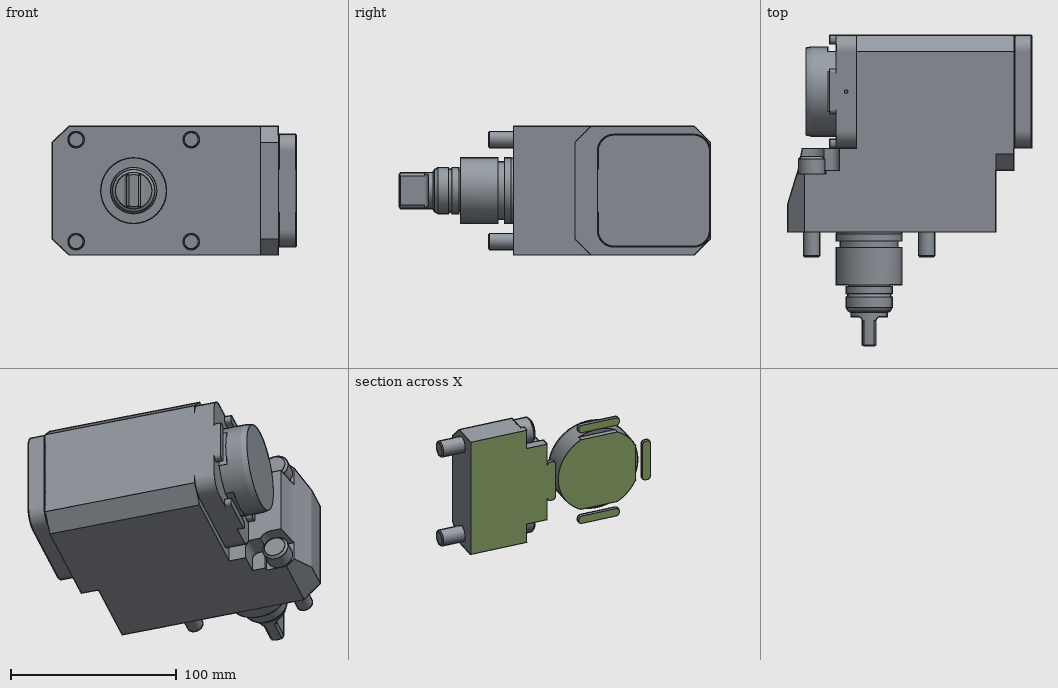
import cadquery as cq

length_y = 187.8
height = 78.0
half_height = height / 2
left_x = -49.2
foot_right_x = 76.5
right_x = 87.3
top_y = 118.9
step_y = 37.2
edge_chamfer = 9.8
foot_chamfer_x = 10.3
head_left_x = -7.5
shoulder_y = 50.5
shoulder_left_x = -40.4
slope_break_x = -43.0
slope_start_y = 16.9

screw_x = 34.7
screw_z = 30.8
screw_diameter = 10.0
screw_tip_y = -15.0
screw_tip_chamfer = 0.8
head_diameter = 16.0
head_seat_y = 35.0
head_length = 10.5
head_chamfer = 1.5
counterbore_radius = 8.6
relief_right_x = -18.0
relief_floor_z = 26.3
relief_corner_radius = 4.3

plate_size = 68.2
plate_radius = 10.1
plate_y = top_y - plate_size / 2
front_plate_x = -20.0
cover_right_x = 98.2
cover_neck = 0.8
cover_chamfer = 0.5
cover_pad_width = 26.3

tab_x = -23.9
tab_width = 27.0
tab_depth = 5.5
tab_radius = 2.3
mark_x = -13.9
mark_diameter = 2.0
mark_depth = 1.0

nut_radius = 54.0 / 2
nut_face_radius = 26.3
nut_face_x = -38.1
nut_taper_x = -34.7
nut_flat_x = -25.0
nut_flat_distance = 24.2

pilot_radius = 39.8 / 2
pilot_rim_radius = 39.5 / 2
pilot_groove_radius = 35.1 / 2
pilot_rim_y = -1.3
pilot_groove_top_y = -5.5
pilot_groove_bottom_y = -9.2
pilot_end_y = -32.0
shaft_radius = 28.0 / 2
shaft_groove_radius = 13.0
shaft_neck_radius = 25.0 / 2
shaft_end_radius = 12.8
shaft_neck_end_y = -32.9
shaft_groove_y = -38.1
shaft_groove_half_width = 1.1
shaft_chamfer_y = -45.5
shaft_end_y = -47.7
tang_collar_y = -48.6
tang_radius = 22.0 / 2
tang_thickness = 8.5
tang_base_y = -51.3
tang_fillet = 2.3
tang_bevel_x = 1.5
tang_bevel_z = 2.3
tang_tip_chamfer = 1.3
tang_tip_chamfer_length = 0.8
tip_y = top_y - length_y


def box(x0, x1, y0, y1, z0, z1):
    """Block between two opposite corners."""
    return cq.Workplane("XY").box(x1 - x0, y1 - y0, z1 - z0, centered=False).translate((x0, y0, z0))


def cylinder_y(x, z, radius, y0, y1):
    """Cylinder along Y, from y0 up to y1."""
    return cq.Workplane("XZ", origin=(x, y1, z)).circle(radius).extrude(y1 - y0)


def both_sides(shape):
    """The shape together with its mirror image across Z = 0."""
    return shape.union(shape.mirror("XY"))


def plate(x0, x1, inset=0.0):
    """Square plate with round corners, between two X positions."""
    side = plate_size - 2 * inset
    blank = cq.Workplane("YZ", origin=(x0, plate_y, 0)).rect(side, side).extrude(x1 - x0)
    return blank.edges("|X").fillet(plate_radius - inset)


def make_housing():
    head = box(head_left_x, right_x, step_y, top_y, -half_height, half_height)
    head = head.edges("|X").chamfer(edge_chamfer)
    foot_outline = [
        (left_x, 0),
        (foot_right_x, 0),
        (foot_right_x, shoulder_y),
        (shoulder_left_x, shoulder_y),
        (slope_break_x, step_y),
        (left_x, slope_start_y),
    ]
    bottom = cq.Workplane("XY").workplane(offset=-half_height)
    foot = bottom.polyline(foot_outline).close().extrude(height)
    foot_block = box(left_x, foot_right_x, 0, shoulder_y, -half_height, half_height)
    foot_block = foot_block.edges("|Y and <X").chamfer(edge_chamfer, foot_chamfer_x)
    return head.union(foot.intersect(foot_block))


def make_screw_pocket():
    """Counterbore open to the left, with a shallower relief on its right."""
    bore = cylinder_y(-screw_x, screw_z, counterbore_radius, head_seat_y, shoulder_y)
    left = box(left_x, -screw_x, head_seat_y, shoulder_y, screw_z - counterbore_radius, half_height)
    above = box(-screw_x, -screw_x + counterbore_radius, head_seat_y, shoulder_y, screw_z, half_height)
    relief = box(-screw_x, relief_right_x, step_y, shoulder_y, relief_floor_z, half_height)
    relief = relief.edges("|Y and >X and <Z").fillet(relief_corner_radius)
    return bore.union(left).union(above).union(relief)


def make_screw_shank(x):
    shank = cylinder_y(x, screw_z, screw_diameter / 2, screw_tip_y, 0)
    return shank.faces("<Y").chamfer(screw_tip_chamfer)


def make_screw_head():
    head = cylinder_y(-screw_x, screw_z, head_diameter / 2, head_seat_y, head_seat_y + head_length)
    return head.faces(">Y").chamfer(head_chamfer)


def make_front_plate():
    body = plate(front_plate_x, head_left_x)
    tab = box(
        tab_x, front_plate_x,
        -tab_width / 2, tab_width / 2,
        plate_size / 2 - tab_depth, plate_size / 2,
    )
    tab = tab.edges("|X").fillet(tab_radius)
    for angle in (0, 90, 180, 270):
        turned_tab = tab.rotate((0, 0, 0), (1, 0, 0), angle)
        body = body.union(turned_tab.translate((0, plate_y, 0)))
    mark = cq.Workplane("XY", origin=(mark_x, plate_y, plate_size / 2)).circle(mark_diameter / 2)
    return body.cut(mark.extrude(-mark_depth))


def make_cover():
    """End cover on a slightly smaller neck, with a plain pad on its -Y side."""
    cover = plate(right_x + cover_neck, cover_right_x).faces(">X").chamfer(cover_chamfer)
    neck = plate(right_x, right_x + cover_neck, cover_neck)
    half_pad = cover_pad_width / 2
    pad = box(right_x, cover_right_x, top_y - plate_size, plate_y, -half_pad, half_pad)
    return cover.union(neck).union(pad)


def make_nut():
    profile = [
        (front_plate_x, 0),
        (front_plate_x, nut_radius),
        (nut_taper_x, nut_radius),
        (nut_face_x, nut_face_radius),
        (nut_face_x, 0),
    ]
    nut = cq.Workplane("XY").polyline(profile).close().revolve(360, (0, 0, 0), (1, 0, 0))
    flat_cut = box(nut_flat_x, front_plate_x, nut_flat_distance, nut_radius, -nut_radius, nut_radius)
    for angle in (-90, 0, 90):
        nut = nut.cut(flat_cut.rotate((0, 0, 0), (1, 0, 0), angle))
    return nut.translate((0, plate_y, 0))


def make_spindle_blank():
    """Turned spindle, before the tang is cut flat."""
    groove_top_y = shaft_groove_y + shaft_groove_half_width
    groove_bottom_y = shaft_groove_y - shaft_groove_half_width
    half_profile = (
        cq.Workplane("XY")
        .lineTo(pilot_rim_radius, 0)
        .lineTo(pilot_rim_radius, pilot_rim_y)
        .lineTo(pilot_radius, pilot_rim_y)
        .lineTo(pilot_radius, pilot_groove_top_y)
        .lineTo(pilot_groove_radius, pilot_groove_top_y)
        .lineTo(pilot_groove_radius, pilot_groove_bottom_y)
        .lineTo(pilot_radius, pilot_groove_bottom_y)
        .lineTo(pilot_radius, pilot_end_y)
        .lineTo(shaft_neck_radius, pilot_end_y)
        .lineTo(shaft_neck_radius, shaft_neck_end_y)
        .lineTo(shaft_radius, shaft_neck_end_y)
        .lineTo(shaft_radius, groove_top_y)
        .threePointArc((shaft_groove_radius, shaft_groove_y), (shaft_radius, groove_bottom_y))
        .lineTo(shaft_radius, shaft_chamfer_y)
        .lineTo(shaft_end_radius, shaft_end_y)
        .lineTo(tang_radius, tang_collar_y)
        .lineTo(tang_radius, tip_y + tang_tip_chamfer_length)
        .lineTo(tang_radius - tang_tip_chamfer, tip_y)
        .lineTo(0, tip_y)
        .close()
    )
    return half_profile.revolve(360, (0, 0, 0), (0, 1, 0))


def make_tang_side_cut():
    """Material removed on the +X side of the tang, with a fillet at its base."""
    half = tang_thickness / 2
    profile = [
        (half, tang_base_y),
        (half, tip_y + tang_tip_chamfer_length),
        (half - tang_tip_chamfer, tip_y),
        (pilot_radius, tip_y),
        (pilot_radius, tang_base_y),
    ]
    bottom = cq.Workplane("XY").workplane(offset=-pilot_radius)
    cut = bottom.polyline(profile).close().extrude(2 * pilot_radius)
    return cut.edges("|Z and >Y").edges("<X").fillet(tang_fillet)


def make_tang_bevel_cut():
    """Wedge that bevels the long tang edge on the +X +Z side."""
    half = tang_thickness / 2
    bevel_start_y = tang_base_y - tang_fillet
    corner = [
        (half, tang_radius - tang_bevel_z),
        (half, tang_radius),
        (half - tang_bevel_x, tang_radius),
    ]
    wedge = cq.Workplane("XZ", origin=(0, bevel_start_y, 0)).polyline(corner).close()
    return wedge.extrude(bevel_start_y - tip_y)


def make_spindle():
    side_cut = both_sides(make_tang_bevel_cut()).union(make_tang_side_cut())
    return make_spindle_blank().cut(side_cut).cut(side_cut.mirror("YZ"))


result = make_housing()
result = result.cut(both_sides(make_screw_pocket()))
for x in (-screw_x, screw_x):
    result = result.union(both_sides(make_screw_shank(x)))
result = result.union(both_sides(make_screw_head()))
result = result.union(make_front_plate()).union(make_nut()).union(make_cover()).union(make_spindle())